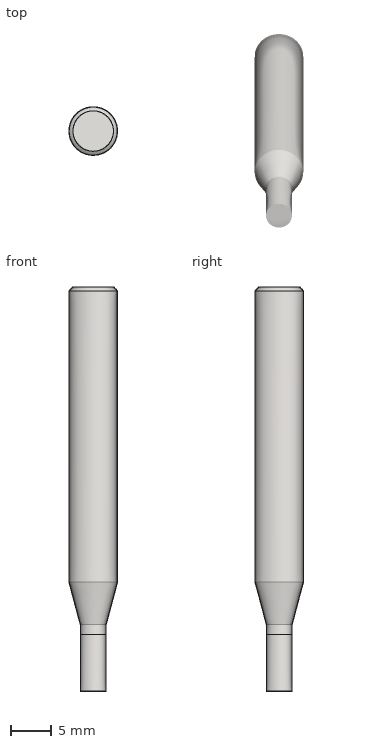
import cadquery as cq

total_length = 50.0
shank_diameter = 6.0
neck_diameter = 3.2
tip_diameter = 3.2
tip_length = 7.0
neck_length = 1.25
taper_length = 5.25
top_chamfer = 0.5

bottom_z = 0.0
tip_top_z = bottom_z + tip_length
taper_bottom_z = tip_top_z + neck_length
taper_top_z = taper_bottom_z + taper_length
top_z = bottom_z + total_length


def make_shank():
    """Round shank with a chamfered top, tapering down to a short neck."""
    shank_radius = shank_diameter / 2
    neck_radius = neck_diameter / 2
    half_profile = (
        cq.Workplane("XZ")
        .moveTo(0, tip_top_z)
        .lineTo(neck_radius, tip_top_z)
        .lineTo(neck_radius, taper_bottom_z)
        .lineTo(shank_radius, taper_top_z)
        .lineTo(shank_radius, top_z - top_chamfer)
        .lineTo(shank_radius - top_chamfer, top_z)
        .lineTo(0, top_z)
        .close()
    )
    return half_profile.revolve(360, (0, 0, 0), (0, 1, 0))


def make_tip():
    """Plain cylindrical tip that butts against the end of the neck."""
    return cq.Workplane("XY").workplane(offset=bottom_z).circle(tip_diameter / 2).extrude(tip_length)


shank = make_shank()
tip = make_tip()

result = cq.Compound.makeCompound([shank.val(), tip.val()])